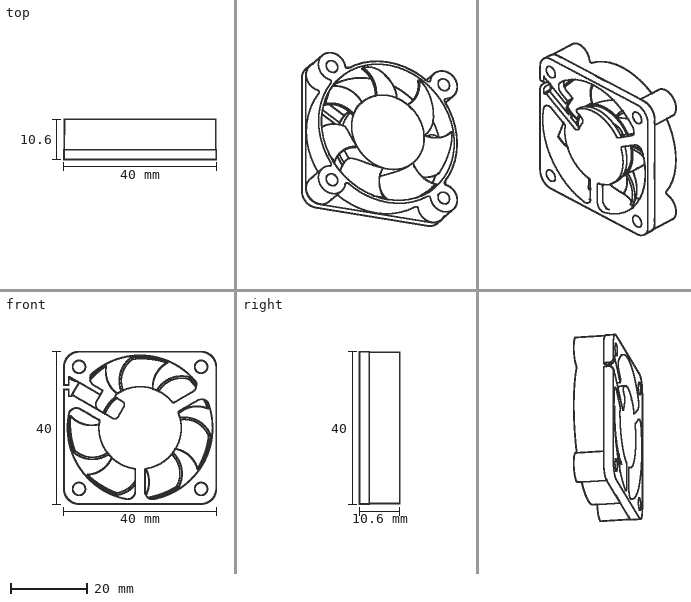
import cadquery as cq
import math

frame_size = 40.0
frame_depth = 10.6
plate_depth = 2.6
corner_radius = 4.0
hole_pitch = 32.0
hole_diameter = 3.3
boss_radius = 3.9
tube_radius = 19.85
bore_radius = 19.0
boss_blend_radius = 0.5

hub_radius = 10.8
hub_depth = 1.4
strut_depth = 1.9
strut_width = 2.6
cable_strut_width = 7.2
cable_strut_angle = 150.0
plain_strut_angles = (30.0, 270.0)
strut_outer_fillet = 2.0
strut_inner_fillet = 0.4
bearing_radius = 3.4
hub_notch_fillet = 0.6

groove_depth = 1.4
groove_low = -1.4
groove_high = 2.3
opening_inner_end = 6.45
opening_outer_end = 13.35
opening_high = 3.7
notch_along = math.sqrt(hub_radius**2 - opening_high**2)
opening_inner_fillet = 1.0
opening_outer_fillet = 1.8
edge_wall = 1.3
pit_bottom = 8.3
slit_bottom = 10.1
slit_top = 11.2
slit_flare = 1.0

drum_radius = 10.4
drum_inner_radius = 9.9
drum_front = 4.0
drum_floor = 7.8
blade_count = 7
blade_tip_radius = 18.6
blade_root_radius = 10.15
blade_thickness = 0.65
blade_front = 4.1
blade_rear = 10.55
blade_run = 8.9
blade_turn = 52.0
blade_lean = -11.3
blade_front_x = 2.1
blade_front_z = 12.3
blade_arc_radius = 7.55
blade_root_angle = 208.0
blade_end_angle = 113.0
blade_face_steps = 12

match_tolerance = 0.005
face_tolerance = 0.001


def plan(y=0.0):
    """Sketch plane square to the fan axis; extrude by a negative amount to go towards +Y."""
    return cq.Workplane("XZ", origin=(0, y, 0))


def disc(radius, front, rear):
    return plan(front).circle(radius).extrude(front - rear)


def axis_distance(shape):
    centre = shape.Center()
    return math.hypot(centre.x, centre.z)


def cable_box(along_min, along_max, across_min, across_max, depth):
    """Block from the front face, aligned with the cable strut."""
    return (
        plan()
        .transformed(rotate=(0, 0, cable_strut_angle))
        .center((along_min + along_max) / 2, -(across_min + across_max) / 2)
        .rect(along_max - along_min, across_max - across_min)
        .extrude(-depth)
    )


def cable_point(along, across):
    angle = math.radians(cable_strut_angle)
    return cq.Vector(
        along * math.cos(angle) + across * math.sin(angle),
        hub_depth / 2,
        along * math.sin(angle) - across * math.cos(angle),
    )


def frame_shell():
    """Square front plate with the round tube and four corner bosses behind it."""
    plate = (
        plan()
        .rect(frame_size, frame_size)
        .extrude(-plate_depth)
        .edges("|Y")
        .fillet(corner_radius)
    )
    bosses = (
        plan(plate_depth)
        .rect(hole_pitch, hole_pitch, forConstruction=True)
        .vertices()
        .circle(boss_radius)
        .extrude(plate_depth - frame_depth)
    )
    rear = disc(tube_radius, plate_depth, frame_depth).union(bosses)
    joints = [
        e for e in rear.edges("|Y").vals()
        if abs(axis_distance(e) - tube_radius) < match_tolerance
        and min(abs(e.Center().x), abs(e.Center().z)) > match_tolerance
    ]
    rear = rear.newObject(joints).fillet(boss_blend_radius)
    shell = plate.union(rear).cut(disc(bore_radius, 0, frame_depth))
    holes = (
        plan()
        .rect(hole_pitch, hole_pitch, forConstruction=True)
        .vertices()
        .circle(hole_diameter / 2)
        .extrude(-frame_depth)
    )
    return shell.cut(holes)


def strut(angle, width):
    return (
        plan()
        .transformed(rotate=(0, 0, angle))
        .center(bore_radius / 2, 0)
        .rect(bore_radius, width)
        .extrude(-strut_depth)
    )


def spider():
    """Hub plate and struts, left over between three rounded air windows."""
    windows = disc(bore_radius, 0, strut_depth).cut(disc(hub_radius, 0, strut_depth))
    windows = windows.cut(strut(cable_strut_angle, cable_strut_width))
    for angle in plain_strut_angles:
        windows = windows.cut(strut(angle, strut_width))
    middle = (hub_radius + bore_radius) / 2
    corners = windows.edges("|Y").vals()
    outer = [e for e in corners if axis_distance(e) > middle]
    windows = windows.newObject(outer).fillet(strut_outer_fillet)
    corners = windows.edges("|Y").vals()
    notch_corner = cable_point(notch_along, opening_high)
    inner = [
        e for e in corners
        if axis_distance(e) < hub_radius + 0.05 and (e.Center() - notch_corner).Length > strut_depth
    ]
    windows = windows.newObject(inner).fillet(strut_inner_fillet)
    web = disc(bore_radius, 0, strut_depth).cut(windows)
    web = web.cut(disc(hub_radius, hub_depth, strut_depth)).cut(cable_opening())
    nearest = cq.selectors.NearestToPointSelector(notch_corner.toTuple())
    return web.edges("|Y").edges(nearest).fillet(hub_notch_fillet)


def cable_opening():
    """Rounded hole through hub and strut where the cable enters the motor."""
    hole = cable_box(opening_inner_end, opening_outer_end, groove_low, opening_high, strut_depth)
    hole = hole.edges("|Y").edges("<X").fillet(opening_outer_fillet)
    hole = hole.edges("|Y").edges(">X").fillet(opening_inner_fillet)
    return hole.edges("|Y").edges("<Z").fillet(opening_inner_fillet)


def inside_edge_wall():
    inner_size = frame_size - 2 * edge_wall
    return plan().rect(inner_size, inner_size).extrude(-plate_depth)


def cable_groove():
    """Shallow channel along the strut, ending square at the edge wall."""
    channel = cable_box(hub_radius, frame_size, groove_low, groove_high, groove_depth)
    return channel.intersect(inside_edge_wall())


def cable_pit():
    """Through opening between the tube and the edge wall."""
    strip = cable_box(hub_radius, frame_size, -frame_size, groove_high, plate_depth)
    above_bottom = (
        plan()
        .center(0, pit_bottom + frame_size / 2)
        .rect(frame_size, frame_size)
        .extrude(-plate_depth)
    )
    left_half = plan().center(-frame_size / 2, 0).rect(frame_size, 2 * frame_size).extrude(-plate_depth)
    pit = strip.intersect(inside_edge_wall()).intersect(above_bottom).intersect(left_half)
    return pit.cut(disc(tube_radius, 0, plate_depth))


def cable_slit():
    """Slit through the edge wall with rounded front edges."""
    rounded = slit_flare * (1 - math.sqrt(0.5))
    profile = (
        cq.Workplane("YZ", origin=(-frame_size / 2, 0, 0))
        .moveTo(plate_depth, slit_bottom)
        .lineTo(slit_flare, slit_bottom)
        .threePointArc((rounded, slit_bottom - rounded), (0, slit_bottom - slit_flare))
        .lineTo(0, slit_top + slit_flare)
        .threePointArc((rounded, slit_top + rounded), (slit_flare, slit_top))
        .lineTo(plate_depth, slit_top)
        .close()
    )
    return profile.extrude(edge_wall)


def housing_body():
    body = frame_shell().union(spider())
    for cutter in (cable_groove(), cable_pit(), cable_slit()):
        body = body.cut(cutter)
    return body.union(disc(bearing_radius, hub_depth, drum_floor))


def blade_face():
    """Convex outer face of a blade: a bent section carried along the arc of the front edge."""
    rise = blade_rear - blade_front
    half_turn = math.radians(blade_turn) / 2
    section_radius = math.hypot(blade_run, rise) / (2 * math.sin(half_turn))
    start_tilt = math.atan2(blade_run, rise) - half_turn
    lean = math.radians(blade_lean)

    def face_point(section_share, edge_share):
        tilt = start_tilt + section_share * 2 * half_turn
        sideways = section_radius * (math.cos(start_tilt) - math.cos(tilt))
        depth = section_radius * (math.sin(tilt) - math.sin(start_tilt))
        angle = math.radians(blade_root_angle + edge_share * (blade_end_angle - blade_root_angle))
        return cq.Vector(
            blade_front_x + blade_arc_radius * math.cos(angle) + sideways * math.cos(lean),
            blade_front + depth,
            blade_front_z + blade_arc_radius * math.sin(angle) + sideways * math.sin(lean),
        )

    shares = [step / blade_face_steps for step in range(blade_face_steps + 1)]
    grid = [[face_point(s, e) for e in shares] for s in shares]
    return cq.Face.makeSplineApprox(grid, tol=face_tolerance)


def blade():
    """Blade trimmed round at root and tip, then thickened square to its outer face."""
    ring = disc(blade_tip_radius, 0, frame_size).cut(disc(blade_root_radius, 0, frame_size))
    trimmed = blade_face().intersect(ring.val()).Faces()[0]
    return cq.Workplane(trimmed.thicken(blade_thickness))


def rotor_body():
    body = disc(drum_radius, drum_front, frame_depth)
    first = blade()
    for index in range(blade_count):
        body = body.union(first.rotate((0, 0, 0), (0, 1, 0), index * 360 / blade_count))
    return body.cut(disc(drum_inner_radius, drum_front, drum_floor))


housing = housing_body()
rotor = rotor_body()
result = cq.Compound.makeCompound([housing.val(), rotor.val()])